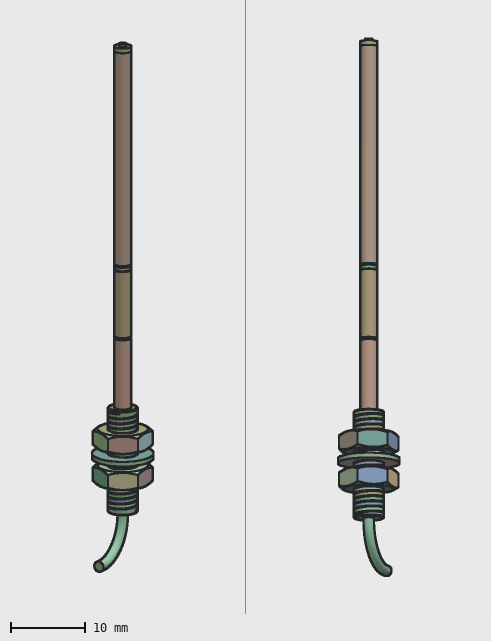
import cadquery as cq
import math


thread_radius = 2.0
housing_length = 14.6
end_chamfer = 0.15
thread_pitch = 0.7
groove_width = 0.15
groove_depth = 0.1
groove_end_gap = 0.35

nut_across_flats = 7.0
nut_thickness = 2.5
nut_face_radius = 3.4
nut_bevel_angle = 30
upper_nut_bottom = 9.0
lower_nut_bottom = 4.0

washer_diameter = 8.3
washer_radius = washer_diameter / 2
washer_thickness = 0.65
washer_bottom = 7.5

cable_radius = 0.7
cable_bend_radius = 5.7
cable_exit_length = 0.35
overall_depth = 10.6
cable_end_length = overall_depth - washer_radius - cable_bend_radius

overall_height = 72.1
rod_radius = 1.15
tip_collar_height = 0.65
tip_button_radius = 0.5
tip_button_height = 0.35
ring_groove_depth = 0.1
ring_grooves = [(9.8, 0.3), (19.25, 0.1), (19.9, 0.2)]

cable_drop = cable_exit_length + cable_bend_radius + cable_radius
rod_bottom = housing_length
rod_top = overall_height - cable_drop - tip_button_height - tip_collar_height


def cylinder(radius, bottom, height):
    return cq.Workplane("XY").workplane(offset=bottom).circle(radius).extrude(height)


def thread_groove():
    """Shallow V swept along a right-hand helix, stopping short of both housing ends.

    The V keeps its slopes beyond the thread surface, so it is twice as deep and wide as the groove.
    """
    helix = cq.Wire.makeHelix(thread_pitch, housing_length - 2 * groove_end_gap, thread_radius)
    profile = (
        cq.Workplane("XZ", origin=(thread_radius, 0, 0))
        .moveTo(-groove_depth, 0)
        .lineTo(groove_depth, groove_width)
        .lineTo(groove_depth, -groove_width)
        .close()
    )
    groove = profile.sweep(cq.Workplane(helix), isFrenet=True)
    return groove.translate((0, 0, groove_end_gap))


def make_housing():
    blank = cylinder(thread_radius, 0, housing_length).faces("<Z or >Z").chamfer(end_chamfer)
    return blank.cut(thread_groove())


def make_nut(bottom):
    """Hexagon with corners on +Y and -Y, both ends turned down to a bevel."""
    corner_radius = nut_across_flats / math.sqrt(3)
    bevel_height = (corner_radius - nut_face_radius) * math.tan(math.radians(nut_bevel_angle))
    hexagon = cq.Workplane("XY").polygon(6, 2 * corner_radius).extrude(nut_thickness)
    hexagon = hexagon.rotate((0, 0, 0), (0, 0, 1), 90)
    bevel_envelope = (
        cq.Workplane("XZ")
        .moveTo(thread_radius, 0)
        .lineTo(nut_face_radius, 0)
        .lineTo(corner_radius, bevel_height)
        .lineTo(corner_radius, nut_thickness - bevel_height)
        .lineTo(nut_face_radius, nut_thickness)
        .lineTo(thread_radius, nut_thickness)
        .close()
        .revolve(360, (0, 0, 0), (0, 1, 0))
    )
    return hexagon.intersect(bevel_envelope).translate((0, 0, bottom))


def make_washer():
    disc = cylinder(washer_radius, washer_bottom, washer_thickness)
    return disc.cut(cylinder(thread_radius, washer_bottom, washer_thickness))


def make_cable():
    """Round cable leaving the housing downward and bending a quarter turn toward -Y."""
    bend_start = -cable_exit_length
    bend_end = bend_start - cable_bend_radius
    bend_middle = cable_bend_radius * math.sqrt(0.5)
    path = (
        cq.Workplane("YZ")
        .moveTo(0, 0)
        .lineTo(0, bend_start)
        .threePointArc(
            (bend_middle - cable_bend_radius, bend_start - bend_middle),
            (-cable_bend_radius, bend_end),
        )
        .lineTo(-cable_bend_radius - cable_end_length, bend_end)
    )
    return cq.Workplane("XY").circle(cable_radius).sweep(path)


def ring_groove(height, width):
    bottom = rod_bottom + height - width / 2
    ring = cylinder(rod_radius, bottom, width)
    return ring.cut(cylinder(rod_radius - ring_groove_depth, bottom, width))


def make_rod():
    rod = cylinder(rod_radius, rod_bottom, rod_top - rod_bottom)
    for height, width in ring_grooves:
        rod = rod.cut(ring_groove(height, width))
    return rod


def make_tip():
    collar = cylinder(rod_radius, rod_top, tip_collar_height)
    button = cylinder(tip_button_radius, rod_top + tip_collar_height, tip_button_height)
    return collar.union(button)


housing = make_housing()
nuts = [make_nut(bottom) for bottom in (lower_nut_bottom, upper_nut_bottom)]
washer = make_washer()
cable = make_cable()
rod = make_rod()
tip = make_tip()

result = cq.Compound.makeCompound(
    [
        housing.val(),
        *[nut.val() for nut in nuts],
        washer.val(),
        cable.val(),
        rod.val(),
        tip.val(),
    ]
)